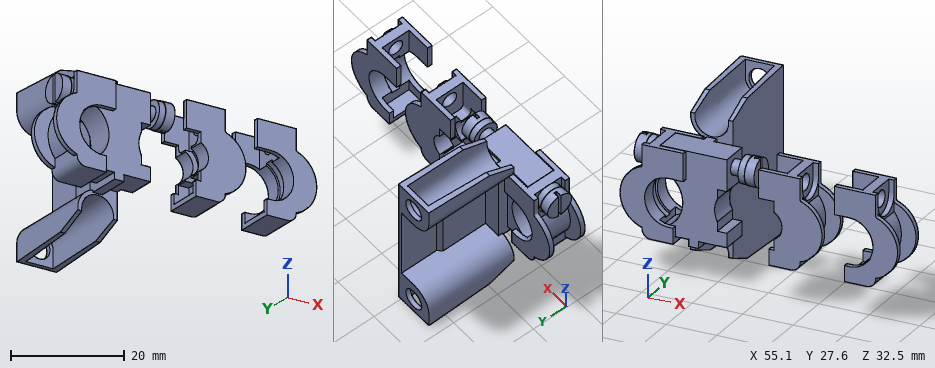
import cadquery as cq


JAW_WIDTH = 8.1
FLANGE_THICKNESS = 1.0
JAW_INNER_HALF = JAW_WIDTH / 2 - FLANGE_THICKNESS
JAW_TOP = 9.25
JAW_BOTTOM = -8.88
FOOT_FLOOR = JAW_BOTTOM + 1.0
FOOT_EDGE = 2.0
FOOT_RADIUS = 1.8
WEB_FACE = 5.15
WEB_BACK = 7.15
JAW_BACK = 8.2
FLANGE_RADIUS = 6.2
FLANGE_CENTER = 6.35
CORNER_FILLET = 0.4

BORE_Z = -1.0
LARGE_BORE_RADIUS = 4.75
LARGE_BORE_CENTER = 2.9
LARGE_GROOVE_RADIUS = 5.15
SHELL_RADIUS = LARGE_BORE_RADIUS + 2.0
BORE_GROOVE_WIDTH = 1.75

SMALL_BORE_RADIUS = 3.0
SMALL_BORE_CENTER = 1.6
SMALL_GROOVE_RADIUS = 4.1
SADDLE_EDGE = 3.0
SADDLE_HALF_HEIGHT = 3.0
SADDLE_FILLET = 1.0

SCREW_Z = 6.7
SCREW_RADIUS = 1.5
SCREW_HOLE_RADIUS = 1.6
COLLAR_RADIUS = 2.65
COLLAR_LENGTH = 1.3
HEAD_RADIUS = 2.75
HEAD_LENGTH = 1.95
DRIVE_SLOT_WIDTH = 0.55
DRIVE_SLOT_DEPTH = 1.2

FIXED_JAW_EDGE = -1.5
SMALL_JAW_EDGE = 13.5
LARGE_JAW_EDGE = 28.5

END_CLEARANCE = 0.05
BLOCK_HALF_LENGTH = WEB_FACE - FIXED_JAW_EDGE - END_CLEARANCE
BLOCK_HALF_WIDTH = 2.9
BLOCK_BOTTOM = FOOT_FLOOR
NOTCH_FLOOR = 4.7
NOTCH_HALF_HEIGHT = 4.05
SHALLOW_GROOVE_DEPTH = 0.55
DEEP_GROOVE_RADIUS = 5.8
DEEP_GROOVE_BOTTOM = -2.2

CHANNEL_RADIUS = 4.2
CHANNEL_Z = 12.85
FRAME_FRONT = JAW_WIDTH / 2
FRAME_LENGTH = 19.5
FRAME_BACK = FRAME_FRONT + FRAME_LENGTH
CHANNEL_TOP = 16.25
RIM_BEND_Y = 9.6
RIM_BEND_Z = 15.6
RIM_FRONT_Z = 13.36
END_WALL = 1.0
INNER_FRONT_RADIUS = 3.37
INNER_BACK_RADIUS = 2.87
END_HOLE_RADIUS = 2.18
CHANNEL_FLOOR = CHANNEL_Z - CHANNEL_RADIUS

WEB_THIN_FACE = 3.36
WEB_STEP = 0.83
WEB_STEP_Y = 14.78
RIB_HALF_WIDTH = 1.0
RIB_BOTTOM = -9.2
FRONT_WALL = 1.0

MARGIN = 1.0


def box(x_range, y_range, z_range):
    """Box between the given limits."""
    sizes = [high - low for low, high in (x_range, y_range, z_range)]
    corner = (x_range[0], y_range[0], z_range[0])
    return cq.Workplane("XY").box(*sizes, centered=False).translate(corner)


def cylinder_along_y(x, z, radius, width):
    """Cylinder along Y, centered on Y = 0."""
    return cq.Workplane("XZ").center(x, z).circle(radius).extrude(width / 2, both=True)


def cylinder_along_x(x_start, length, radius):
    """Cylinder on the screw axis."""
    return cq.Workplane("YZ", origin=(x_start, 0, SCREW_Z)).circle(radius).extrude(length)


def symmetric(half):
    """Limits at equal distances on both sides of zero."""
    return (-half, half)


def jaw_blank():
    """Full-width side outline of a jaw: upper flange, round back and foot."""
    half_chord = (FLANGE_RADIUS**2 - (JAW_BACK - FLANGE_CENTER) ** 2) ** 0.5
    foot_offset = FOOT_RADIUS * (1 - 0.5**0.5)
    flange_bottom = BORE_Z + LARGE_BORE_RADIUS
    blank = (
        cq.Workplane("XZ")
        .moveTo(0, JAW_TOP)
        .lineTo(JAW_BACK, JAW_TOP)
        .lineTo(JAW_BACK, BORE_Z + half_chord)
        .threePointArc((FLANGE_CENTER + FLANGE_RADIUS, BORE_Z), (JAW_BACK, BORE_Z - half_chord))
        .lineTo(JAW_BACK, JAW_BOTTOM + FOOT_RADIUS)
        .threePointArc(
            (JAW_BACK - foot_offset, JAW_BOTTOM + foot_offset),
            (JAW_BACK - FOOT_RADIUS, JAW_BOTTOM),
        )
        .lineTo(FOOT_EDGE, JAW_BOTTOM)
        .lineTo(FOOT_EDGE, flange_bottom)
        .lineTo(0, flange_bottom)
        .close()
        .extrude(JAW_WIDTH / 2, both=True)
    )
    corner = (JAW_BACK, 0, BORE_Z + half_chord)
    return blank.edges(cq.selectors.NearestToPointSelector(corner)).fillet(CORNER_FILLET)


def make_jaw(with_saddle):
    """Clamp jaw with its open edge at X = 0 and its back toward +X."""
    inside = symmetric(JAW_INNER_HALF)
    x_end = FLANGE_CENTER + FLANGE_RADIUS + MARGIN
    jaw = jaw_blank()

    jaw = jaw.cut(box((-MARGIN, WEB_FACE), inside, (FOOT_FLOOR, JAW_TOP + MARGIN)))

    recess = box((JAW_BACK, x_end), inside, (JAW_BOTTOM, JAW_TOP))
    shell = cylinder_along_y(LARGE_BORE_CENTER, BORE_Z, SHELL_RADIUS, JAW_WIDTH)
    jaw = jaw.cut(recess.cut(shell))

    jaw = jaw.cut(cylinder_along_x(WEB_BACK, x_end - WEB_BACK, JAW_INNER_HALF))
    jaw = jaw.cut(box((WEB_BACK, x_end), inside, (SCREW_Z, JAW_TOP + MARGIN)))
    jaw = jaw.cut(cylinder_along_x(0, WEB_BACK + MARGIN, SCREW_HOLE_RADIUS))

    opening_edge = LARGE_BORE_CENTER
    bore = (LARGE_BORE_CENTER, LARGE_BORE_RADIUS, LARGE_GROOVE_RADIUS)
    if with_saddle:
        opening_edge = SADDLE_EDGE
        bore = (SMALL_BORE_CENTER, SMALL_BORE_RADIUS, SMALL_GROOVE_RADIUS)
        jaw = jaw.union(saddle())
    opening_z = (BORE_Z - LARGE_BORE_RADIUS, BORE_Z + LARGE_BORE_RADIUS)
    jaw = jaw.cut(box((-MARGIN, opening_edge), symmetric(JAW_WIDTH), opening_z))
    center, radius, groove_radius = bore
    jaw = jaw.cut(cylinder_along_y(center, BORE_Z, radius, JAW_WIDTH))
    return jaw.cut(cylinder_along_y(center, BORE_Z, groove_radius, BORE_GROOVE_WIDTH))


def saddle():
    """Filling between the flanges, with concave upper corners along the flanges."""
    top = BORE_Z + SADDLE_HALF_HEIGHT
    inside = symmetric(JAW_INNER_HALF)
    filling = box((SADDLE_EDGE, WEB_FACE), inside, (BORE_Z - SADDLE_HALF_HEIGHT, top + SADDLE_FILLET))
    trough = box((0, WEB_BACK), inside, (top, top + 3 * SADDLE_FILLET))
    return filling.cut(trough.edges("|X and <Z").fillet(SADDLE_FILLET))


def make_screw():
    """Screw pointing out of the block toward +X."""
    collar_start = WEB_BACK - FIXED_JAW_EDGE
    head_start = collar_start + COLLAR_LENGTH
    head_end = head_start + HEAD_LENGTH
    screw = cylinder_along_x(0, collar_start, SCREW_RADIUS)
    screw = screw.union(cylinder_along_x(collar_start, COLLAR_LENGTH, COLLAR_RADIUS))
    screw = screw.union(cylinder_along_x(head_start, HEAD_LENGTH, HEAD_RADIUS))
    slot_z = (SCREW_Z - HEAD_RADIUS, SCREW_Z + HEAD_RADIUS)
    return screw.cut(box((head_end - DRIVE_SLOT_DEPTH, head_end), symmetric(DRIVE_SLOT_WIDTH / 2), slot_z))


def make_block():
    """Center block with a deep cable groove at -X and a shallow one in a notch at +X."""
    width = symmetric(BLOCK_HALF_WIDTH)
    block = box(symmetric(BLOCK_HALF_LENGTH), width, (BLOCK_BOTTOM, JAW_TOP))
    deep_center = DEEP_GROOVE_BOTTOM - DEEP_GROOVE_RADIUS
    block = block.cut(cylinder_along_y(deep_center, BORE_Z, DEEP_GROOVE_RADIUS, JAW_WIDTH))
    notch_z = (BORE_Z - NOTCH_HALF_HEIGHT, BORE_Z + NOTCH_HALF_HEIGHT)
    block = block.cut(box((NOTCH_FLOOR, BLOCK_HALF_LENGTH), width, notch_z))
    shallow_center = NOTCH_FLOOR - SHALLOW_GROOVE_DEPTH + LARGE_BORE_RADIUS
    return block.cut(
        cylinder_along_y(shallow_center, BORE_Z, LARGE_BORE_RADIUS, JAW_WIDTH).intersect(
            box((0, shallow_center), width, notch_z)
        )
    )


def trough_section(y, radius):
    """Wire of an upright U at the given Y, open end above the channel rim."""
    top = CHANNEL_TOP + MARGIN
    return (
        cq.Workplane("XZ", origin=(0, y, 0))
        .moveTo(-radius, top)
        .lineTo(-radius, CHANNEL_Z)
        .threePointArc((0, CHANNEL_Z - radius), (radius, CHANNEL_Z))
        .lineTo(radius, top)
        .close()
        .wires()
        .val()
    )


def make_channel():
    """Upper channel: tapered round-bottom trough, sloping rim and a holed end wall."""
    r = CHANNEL_RADIUS
    bend = r * 0.5**0.5
    channel = (
        cq.Workplane("XZ", origin=(0, FRAME_FRONT, 0))
        .moveTo(-r, CHANNEL_TOP)
        .lineTo(-r, CHANNEL_Z)
        .threePointArc((-bend, CHANNEL_Z - bend), (0, CHANNEL_FLOOR))
        .lineTo(r, CHANNEL_FLOOR)
        .lineTo(r, CHANNEL_TOP)
        .close()
        .extrude(-FRAME_LENGTH)
    )
    side = (
        cq.Workplane("YZ")
        .moveTo(FRAME_FRONT, 0)
        .lineTo(FRAME_BACK, 0)
        .lineTo(FRAME_BACK, CHANNEL_TOP)
        .lineTo(FRAME_BACK - END_WALL, CHANNEL_TOP)
        .lineTo(RIM_BEND_Y, RIM_BEND_Z)
        .lineTo(FRAME_FRONT, RIM_FRONT_Z)
        .close()
        .extrude(r, both=True)
    )
    trough = cq.Solid.makeLoft(
        [
            trough_section(FRAME_FRONT, INNER_FRONT_RADIUS),
            trough_section(FRAME_BACK - END_WALL, INNER_BACK_RADIUS),
        ],
        True,
    )
    hole = (
        cq.Workplane("XZ", origin=(0, FRAME_FRONT, 0))
        .center(0, CHANNEL_Z)
        .circle(END_HOLE_RADIUS)
        .extrude(-FRAME_LENGTH)
    )
    return channel.intersect(side).cut(cq.Workplane(trough)).cut(hole)


def make_frame():
    """Two mirrored channels, the web joining them and the rib toward the block."""
    upper = make_channel()
    lower = upper.mirror("XY")
    web = (
        cq.Workplane("XY", origin=(0, 0, -CHANNEL_FLOOR))
        .moveTo(CHANNEL_RADIUS, FRAME_FRONT)
        .lineTo(CHANNEL_RADIUS, FRAME_BACK)
        .lineTo(WEB_THIN_FACE, FRAME_BACK)
        .lineTo(WEB_THIN_FACE, WEB_STEP_Y + WEB_STEP)
        .lineTo(WEB_THIN_FACE - WEB_STEP, WEB_STEP_Y)
        .lineTo(WEB_THIN_FACE - WEB_STEP, FRAME_FRONT + FRONT_WALL)
        .lineTo(-RIB_HALF_WIDTH, FRAME_FRONT + FRONT_WALL)
        .lineTo(-RIB_HALF_WIDTH, FRAME_FRONT)
        .close()
        .extrude(2 * CHANNEL_FLOOR)
    )
    rise = CHANNEL_RADIUS - (CHANNEL_RADIUS**2 - RIB_HALF_WIDTH**2) ** 0.5
    wall_z = symmetric(CHANNEL_FLOOR + rise)
    wall = box((-RIB_HALF_WIDTH, 0), (FRAME_FRONT, FRAME_FRONT + FRONT_WALL), wall_z)
    rib_x = symmetric(RIB_HALF_WIDTH)
    rib = box(rib_x, (BLOCK_HALF_WIDTH, FRAME_FRONT), (BLOCK_BOTTOM, JAW_TOP))
    keel = box(rib_x, (-BLOCK_HALF_WIDTH, FRAME_FRONT), (RIB_BOTTOM, BLOCK_BOTTOM))
    plate_x = (RIB_HALF_WIDTH, CHANNEL_RADIUS)
    plate = box(plate_x, (BLOCK_HALF_WIDTH, FRAME_FRONT), (BLOCK_BOTTOM, CHANNEL_FLOOR))
    frame = upper.union(lower)
    for piece in (web, wall, rib, keel, plate):
        frame = frame.union(piece)
    return frame


def make_carrier():
    """Frame, center block, fixed jaw and both screws as one solid."""
    screw = make_screw()
    fixed_jaw = make_jaw(with_saddle=False).mirror("YZ").translate((FIXED_JAW_EDGE, 0, 0))
    carrier = make_frame().union(make_block())
    for piece in (fixed_jaw, screw, screw.mirror("YZ")):
        carrier = carrier.union(piece)
    return carrier


carrier = make_carrier()
small_jaw = make_jaw(with_saddle=True).translate((SMALL_JAW_EDGE, 0, 0))
large_jaw = make_jaw(with_saddle=False).translate((LARGE_JAW_EDGE, 0, 0))

result = cq.Compound.makeCompound([carrier.val(), small_jaw.val(), large_jaw.val()])